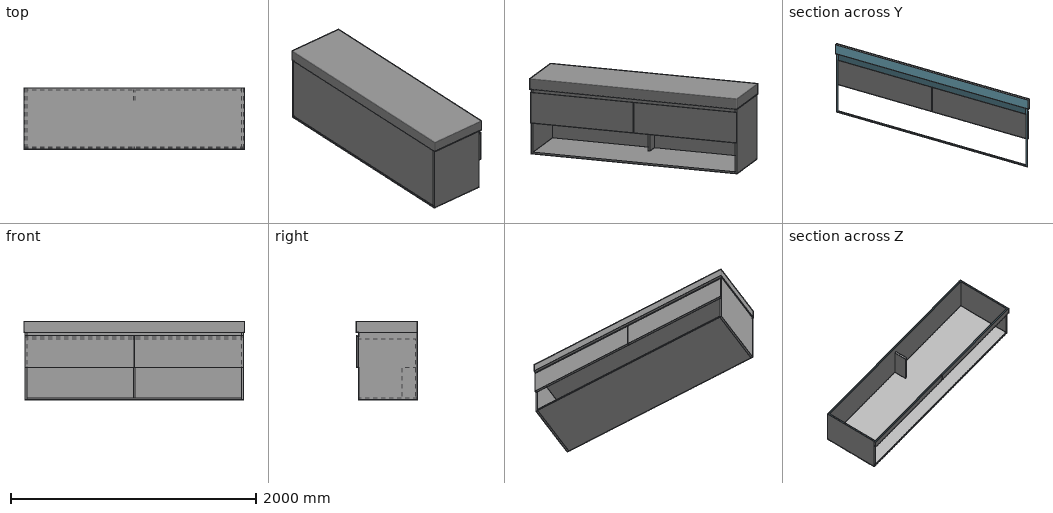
import cadquery as cq

length = 1800.0
depth = 500.0
height = 640.0

top_thickness = 90.0
top_radius = 2.0

board = 16.0
end_inset = 7.0
cabinet_depth = 480.0
cabinet_height = height - top_thickness
cabinet_length = length - 2 * end_inset
inner_length = cabinet_length - 2 * board
back_y = depth / 2
front_y = back_y - cabinet_depth

front_height = 260.0
finger_gap = 27.0
centre_gap = 5.0
front_flat = 5.0
front_bevel = board - front_flat
front_length = (cabinet_length - centre_gap) / 2
front_bottom = cabinet_height - finger_gap - front_height

top_board_thickness = 54.0

rib_width = board
rib_depth = 108.0


def block(x_start, y_start, z_start, x_size, y_size, z_size):
    """Box with its lowest corner at the given point."""
    return cq.Workplane("XY").box(x_size, y_size, z_size, centered=False).translate(
        (x_start, y_start, z_start)
    )


def make_worktop():
    """Slab with rounded top rim and upright corners."""
    slab = block(-length / 2, -depth / 2, cabinet_height, length, depth, top_thickness)
    return slab.edges("|Z or >Z").fillet(top_radius)


def make_side_panel(x_start):
    return block(x_start, front_y, 0, board, cabinet_depth, cabinet_height)


def make_floor_panel():
    return block(-inner_length / 2, front_y, 0, inner_length, cabinet_depth, board)


def make_inner_frame():
    """Back panel and top board between the sides, with a central rib in the open lower bay."""
    panel_front = back_y - board
    panel = block(-inner_length / 2, panel_front, board, inner_length, board, cabinet_height - board)
    top_board = block(
        -inner_length / 2,
        front_y,
        cabinet_height - top_board_thickness,
        inner_length,
        cabinet_depth,
        top_board_thickness,
    )
    rib = block(
        -rib_width / 2, panel_front - rib_depth, board, rib_width, rib_depth, front_bottom - board
    )
    return panel.union(top_board).union(rib)


def make_drawer_front(x_start):
    """Board on the cabinet's front edges, its inner top edge bevelled at 45 degrees as a finger pull."""
    front_top = front_bottom + front_height
    profile = [
        (front_y, front_bottom),
        (front_y - board, front_bottom),
        (front_y - board, front_top),
        (front_y - front_bevel, front_top),
        (front_y, front_top - front_bevel),
    ]
    return cq.Workplane("YZ", origin=(x_start, 0, 0)).polyline(profile).close().extrude(front_length)


worktop = make_worktop()
floor_panel = make_floor_panel()
inner_frame = make_inner_frame()

side_panels = []
for side_x in (-cabinet_length / 2, inner_length / 2):
    side_panels.append(make_side_panel(side_x).val())

drawer_fronts = []
for drawer_x in (-cabinet_length / 2, centre_gap / 2):
    drawer_fronts.append(make_drawer_front(drawer_x).val())

result = cq.Compound.makeCompound(
    [worktop.val(), floor_panel.val(), inner_frame.val(), *side_panels, *drawer_fronts]
)